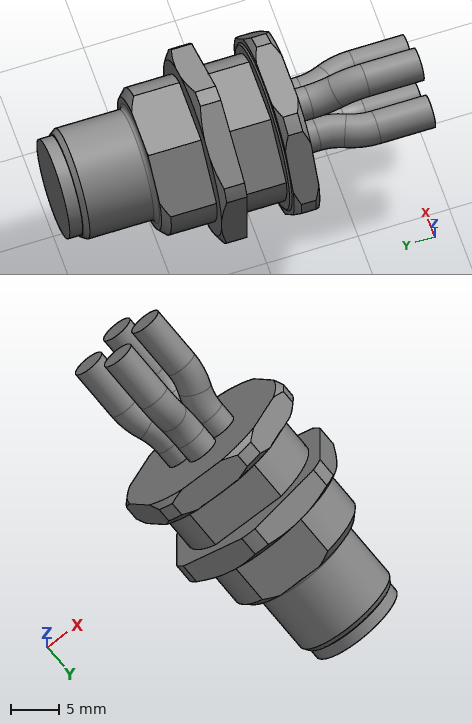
import cadquery as cq
import math

TOTAL_LENGTH = 40.0

CABLE_DIAMETER = 3.5
CABLE_TAIL = 6.0
CABLE_ROOT = 2.0
BEND_RADIUS = 8.0
BEND_ANGLE = math.radians(22.5)
CABLE_SPACING = 2.5
LOWER_CABLE_SHIFT = 0.1
BEND_LENGTH = 2 * BEND_RADIUS * math.sin(BEND_ANGLE)
BEND_OFFSET = 2 * BEND_RADIUS * (1 - math.cos(BEND_ANGLE))

ACROSS_FLATS = 19.0
HEX_THICKNESS = 2.8

FLANGE_CORNER_DIAMETER = 20.9
FLANGE_CHAMFER = 0.6
COLLAR_DIAMETER = 17.85
COLLAR_HEIGHT = 0.2

NUT_CORNER_DIAMETER = 21.0
NUT_CHAMFER_DEPTH = 0.55
NUT_CHAMFER_WIDTH = 0.95

BODY_DIAMETER = 16.0
BODY_CHAMFER = 0.8
FLAT_DISTANCE = 6.7
FLAT_ANGLES = (90, 135, 270)

NECK_FILLET = 0.5
THREAD_DIAMETER = 12.0
THREAD_CHAMFER_DEPTH = 0.6
THREAD_CHAMFER_WIDTH = 0.4
TIP_DIAMETER = 10.8
TIP_LENGTH = 1.4

FLANGE_REAR = CABLE_TAIL + BEND_LENGTH + CABLE_ROOT
FLANGE_FRONT = FLANGE_REAR + HEX_THICKNESS
NUT_REAR = 21.95
NUT_FRONT = NUT_REAR + HEX_THICKNESS
BODY_FRONT = 30.55
THREAD_FRONT = TOTAL_LENGTH - TIP_LENGTH


def turned(profile):
    """Solid of revolution about the Y axis from an open XY profile that starts and ends on it."""
    return profile.close().revolve(360, (0, 0, 0), (0, 1, 0))


def hexagon(rear, turn):
    """Hexagonal prism along +Y; turn rotates it about the axis, in degrees."""
    prism = (
        cq.Workplane("XZ")
        .polygon(6, ACROSS_FLATS, circumscribed=True)
        .extrude(-HEX_THICKNESS)
    )
    return prism.rotate((0, 0, 0), (0, 1, 0), turn).translate((0, rear, 0))


def make_flange():
    radius = FLANGE_CORNER_DIAMETER / 2
    rounding = turned(
        cq.Workplane("XY")
        .moveTo(0, FLANGE_REAR)
        .lineTo(radius - FLANGE_CHAMFER, FLANGE_REAR)
        .lineTo(radius, FLANGE_REAR + FLANGE_CHAMFER)
        .lineTo(radius, FLANGE_FRONT - FLANGE_CHAMFER)
        .lineTo(radius - FLANGE_CHAMFER, FLANGE_FRONT)
        .lineTo(0, FLANGE_FRONT)
    )
    collar_radius = COLLAR_DIAMETER / 2
    collar = turned(
        cq.Workplane("XY")
        .moveTo(0, FLANGE_FRONT)
        .lineTo(collar_radius + COLLAR_HEIGHT, FLANGE_FRONT)
        .lineTo(collar_radius, FLANGE_FRONT + COLLAR_HEIGHT)
        .lineTo(0, FLANGE_FRONT + COLLAR_HEIGHT)
    )
    return hexagon(FLANGE_REAR, 90).intersect(rounding).union(collar)


def make_nut():
    radius = NUT_CORNER_DIAMETER / 2
    rounding = turned(
        cq.Workplane("XY")
        .moveTo(0, NUT_REAR)
        .lineTo(radius, NUT_REAR)
        .lineTo(radius, NUT_FRONT - NUT_CHAMFER_DEPTH)
        .lineTo(radius - NUT_CHAMFER_WIDTH, NUT_FRONT)
        .lineTo(0, NUT_FRONT)
    )
    return hexagon(NUT_REAR, 0).intersect(rounding)


def make_body():
    radius = BODY_DIAMETER / 2
    body = turned(
        cq.Workplane("XY")
        .moveTo(0, FLANGE_REAR)
        .lineTo(radius, FLANGE_REAR)
        .lineTo(radius, BODY_FRONT - BODY_CHAMFER)
        .lineTo(radius - BODY_CHAMFER, BODY_FRONT)
        .lineTo(0, BODY_FRONT)
    )
    for angle in FLAT_ANGLES:
        cutter = (
            cq.Workplane("XY")
            .box(BODY_DIAMETER, TOTAL_LENGTH, BODY_DIAMETER, centered=(False, False, True))
            .translate((FLAT_DISTANCE, 0, 0))
            .rotate((0, 0, 0), (0, 1, 0), -angle)
        )
        body = body.cut(cutter)
    return body


def make_nose():
    radius = THREAD_DIAMETER / 2
    arc_shift = NECK_FILLET * (1 - math.cos(math.radians(45)))
    return turned(
        cq.Workplane("XY")
        .moveTo(0, BODY_FRONT)
        .lineTo(radius + NECK_FILLET, BODY_FRONT)
        .threePointArc((radius + arc_shift, BODY_FRONT + arc_shift), (radius, BODY_FRONT + NECK_FILLET))
        .lineTo(radius, THREAD_FRONT - THREAD_CHAMFER_DEPTH)
        .lineTo(radius - THREAD_CHAMFER_WIDTH, THREAD_FRONT)
        .lineTo(TIP_DIAMETER / 2, THREAD_FRONT)
        .lineTo(TIP_DIAMETER / 2, TOTAL_LENGTH)
        .lineTo(0, TOTAL_LENGTH)
    )


def make_cable(angle):
    """Cable bending away from the axis in the direction given from +X toward +Z."""
    tail_offset = CABLE_SPACING + BEND_OFFSET
    bend_front = CABLE_TAIL + BEND_LENGTH
    half_angle = BEND_ANGLE / 2
    side_step = BEND_RADIUS * (1 - math.cos(half_angle))
    axial_step = BEND_RADIUS * math.sin(half_angle)
    path = (
        cq.Workplane("XY")
        .moveTo(tail_offset, 0)
        .lineTo(tail_offset, CABLE_TAIL)
        .threePointArc(
            (tail_offset - side_step, CABLE_TAIL + axial_step),
            (tail_offset - BEND_OFFSET / 2, CABLE_TAIL + BEND_LENGTH / 2),
        )
        .threePointArc(
            (CABLE_SPACING + side_step, bend_front - axial_step),
            (CABLE_SPACING, bend_front),
        )
        .lineTo(CABLE_SPACING, FLANGE_FRONT)
    )
    section = cq.Workplane("XZ").center(tail_offset, 0).circle(CABLE_DIAMETER / 2)
    return section.sweep(path).rotate((0, 0, 0), (0, 1, 0), -angle)


result = make_body().union(make_flange()).union(make_nut()).union(make_nose())
for cable_angle in (0, 90, 180):
    result = result.union(make_cable(cable_angle))
lower_cable = make_cable(270).translate((LOWER_CABLE_SHIFT, 0, -LOWER_CABLE_SHIFT))
result = result.union(lower_cable)